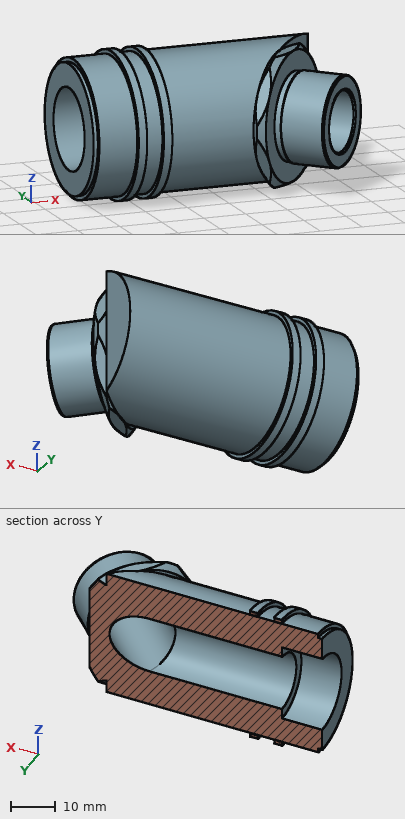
import cadquery as cq
import math

barrel_radius = 16.0
barrel_length = 59.0
spigot_radius = 15.0
spigot_length = 1.0

outlet_angle = 45.0
elbow_x = 43.0
seat_distance = 7.6
hex_sides = 6
hex_across_flats = 30.0
hex_thickness = 3.0
hex_face_radius = hex_across_flats / 2
hex_chamfer = hex_thickness / 2
neck_radius = 10.25
neck_length = 1.6
thread_diameter = 20.955
nipple_radius = thread_diameter / 2
nipple_end = 12.0
nipple_chamfer_length = 0.4
nipple_chamfer_angle = 30.0
nipple_chamfer_depth = nipple_chamfer_length * math.tan(math.radians(nipple_chamfer_angle))

bore_radius = 7.0
counterbore_radius = 9.5
counterbore_depth = 10.0
mouth_chamfer = 0.4

ring_radius = 17.0
ring_width = 2.0
ring_starts = (10.0, 16.0)

hex_front = seat_distance + hex_thickness
outlet_end = hex_front + nipple_end

angle = math.radians(outlet_angle)
outlet_direction = cq.Vector(math.cos(angle), -math.sin(angle), 0)
outlet_side = cq.Vector(math.sin(angle), math.cos(angle), 0)
elbow_point = cq.Vector(elbow_x, 0, 0)


def outlet_plane(distance):
    """Plane square to the outlet axis, with its local X in the XY plane."""
    origin = elbow_point + outlet_direction * distance
    return cq.Plane(origin=origin, xDir=outlet_side, normal=outlet_direction)


def outlet_turned(profile):
    """Revolve a (radius, distance) outline about the outlet axis."""
    plane = cq.Plane(origin=elbow_point, xDir=outlet_side, normal=outlet_side.cross(outlet_direction))
    return cq.Workplane(plane).polyline(profile).close().revolve(360, (0, 0), (0, 1))


def axial_cylinder(radius, start, length):
    """Cylinder on the barrel axis."""
    return cq.Workplane("YZ", origin=(start, 0, 0)).circle(radius).extrude(length)


def make_barrel():
    """Stepped cylinder with its far corner cut off square to the outlet axis."""
    spigot = axial_cylinder(spigot_radius, 0, spigot_length)
    barrel = axial_cylinder(barrel_radius, spigot_length, barrel_length - spigot_length)
    cut_size = 2 * barrel_length
    corner = cq.Workplane(outlet_plane(seat_distance)).rect(cut_size, cut_size).extrude(cut_size)
    return barrel.union(spigot).cut(corner)


def make_hex():
    """Hexagon with corners in the XY plane, chamfered by cones from both faces."""
    corner_diameter = hex_across_flats / math.cos(math.pi / hex_sides)
    hexagon = cq.Workplane(outlet_plane(seat_distance)).polygon(hex_sides, corner_diameter)
    prism = hexagon.extrude(hex_thickness)
    chamfer_envelope = outlet_turned([
        (0, seat_distance),
        (hex_face_radius, seat_distance),
        (hex_face_radius + hex_chamfer, seat_distance + hex_chamfer),
        (hex_face_radius, hex_front),
        (0, hex_front),
    ])
    return prism.intersect(chamfer_envelope)


def make_nipple():
    """Undercut neck and threaded spout ahead of the hexagon."""
    return outlet_turned([
        (0, hex_front),
        (neck_radius, hex_front),
        (neck_radius, hex_front + neck_length),
        (nipple_radius, hex_front + neck_length),
        (nipple_radius, outlet_end - nipple_chamfer_length),
        (nipple_radius - nipple_chamfer_depth, outlet_end),
        (0, outlet_end),
    ])


def make_passage():
    """Counterbored inlet and outlet bores, mitred into each other at the elbow point."""
    half_angle = angle / 2
    overrun = bore_radius * math.tan(half_angle)
    inlet = axial_cylinder(bore_radius, 0, elbow_x + overrun)
    outlet = cq.Workplane(outlet_plane(-overrun)).circle(bore_radius).extrude(outlet_end + overrun)
    miter = cq.Plane(
        origin=elbow_point,
        xDir=cq.Vector(math.sin(half_angle), math.cos(half_angle), 0),
        normal=cq.Vector(math.cos(half_angle), -math.sin(half_angle), 0),
    )
    span = 4 * bore_radius
    past_miter = cq.Workplane(miter).rect(span, span).extrude(span)
    before_miter = cq.Workplane(miter).rect(span, span).extrude(-span)
    counterbore = axial_cylinder(counterbore_radius, 0, counterbore_depth)
    mouth = outlet_turned([
        (0, outlet_end - mouth_chamfer),
        (bore_radius, outlet_end - mouth_chamfer),
        (bore_radius + mouth_chamfer, outlet_end),
        (0, outlet_end),
    ])
    return inlet.cut(past_miter).union(outlet.cut(before_miter)).union(counterbore).union(mouth)


def make_seal_ring(start):
    """Square-edged ring that fits round the barrel."""
    blank = axial_cylinder(ring_radius, start, ring_width)
    return blank.cut(axial_cylinder(barrel_radius, start, ring_width))


housing = make_barrel().union(make_hex()).union(make_nipple()).cut(make_passage())
seal_rings = [make_seal_ring(start).val() for start in ring_starts]

result = cq.Compound.makeCompound([housing.val(), *seal_rings])